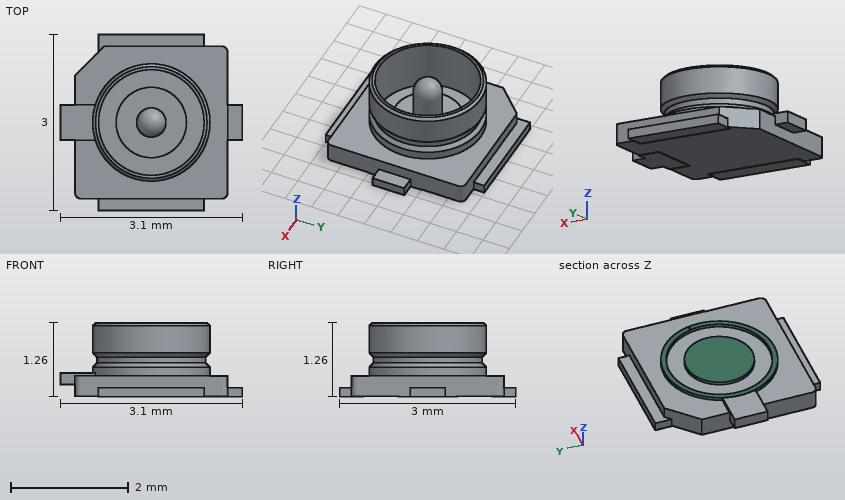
import cadquery as cq

pad_stand_off = 0.01
body_top = 0.36
solder_pad_top = 0.16
side_tab_bottom = 0.21
side_tab_top = 0.41
groove_lower_edge = 0.51
groove_upper_edge = 0.75
overall_height = 1.26

body_size = 2.6
corner_chamfer = 0.5
corner_radius = 0.1

shell_radius = 1.0
bore_radius = 0.9
groove_depth = 0.07
rim_chamfer_width = 0.05
rim_chamfer_height = 0.045

pin_radius = 0.25
insulator_radius = 0.6
insulator_height = 0.1

contact_span_x = 3.1
contact_span_y = 3.0
side_tab_width = 0.6
ground_pad_length = 1.8
ground_pad_inner_y = 1.1
signal_pad_width = 1.0
signal_pad_inner_x = 0.9


def box_between(x_min, x_max, y_min, y_max, z_min, z_max):
    size = (x_max - x_min, y_max - y_min, z_max - z_min)
    return cq.Workplane("XY").box(*size, centered=False).translate((x_min, y_min, z_min))


def make_body():
    """Square base with one chamfered corner and three rounded ones."""
    half = body_size / 2
    body = box_between(-half, half, -half, half, pad_stand_off, body_top)
    body = body.edges("|Z").edges("<X").edges(">Y").chamfer(corner_chamfer)
    body = body.edges("|Z").edges(">X").fillet(corner_radius)
    return body.edges("|Z").edges("<Y").edges("<X").fillet(corner_radius)


def make_shell():
    """Open ring with a 45 degree sided snap groove and a chamfered rim."""
    groove_radius = shell_radius - groove_depth
    profile = [
        (bore_radius, body_top),
        (shell_radius, body_top),
        (shell_radius, groove_lower_edge),
        (groove_radius, groove_lower_edge + groove_depth),
        (groove_radius, groove_upper_edge - groove_depth),
        (shell_radius, groove_upper_edge),
        (shell_radius, overall_height - rim_chamfer_height),
        (shell_radius - rim_chamfer_width, overall_height),
        (bore_radius, overall_height),
    ]
    return cq.Workplane("XZ").polyline(profile).close().revolve(360, (0, 0), (0, 1))


def make_pin():
    """Center pin ending in a hemisphere, standing on the insulator disc."""
    tip_center = overall_height - pin_radius
    pin = cq.Workplane("XY").circle(pin_radius).extrude(tip_center - body_top)
    disc = cq.Workplane("XY").circle(insulator_radius).extrude(insulator_height)
    tip = cq.Workplane("XY").sphere(pin_radius).translate((0, 0, tip_center))
    return pin.union(disc).translate((0, 0, body_top)).union(tip)


def make_side_tab():
    """Raised tab on the -X side, running in to the shell wall."""
    half_width = side_tab_width / 2
    outer_x = -contact_span_x / 2
    inner_x = -(bore_radius + shell_radius) / 2
    return box_between(outer_x, inner_x, -half_width, half_width, side_tab_bottom, side_tab_top)


def make_signal_contact():
    """Low tab on the +X side with a wider solder pad under the body."""
    half_tab = side_tab_width / 2
    half_pad = signal_pad_width / 2
    body_edge = body_size / 2
    tab = box_between(signal_pad_inner_x, contact_span_x / 2, -half_tab, half_tab, 0, solder_pad_top)
    pad = box_between(signal_pad_inner_x, body_edge, -half_pad, half_pad, 0, solder_pad_top)
    return tab.union(pad)


def make_ground_pad(side):
    """Long solder pad along the +Y (side = 1) or -Y (side = -1) edge."""
    half_length = ground_pad_length / 2
    y_min, y_max = sorted((side * ground_pad_inner_y, side * contact_span_y / 2))
    return box_between(-half_length, half_length, y_min, y_max, 0, solder_pad_top)


result = make_body().union(make_shell()).union(make_pin())
result = result.union(make_side_tab()).union(make_signal_contact())
for side in (-1, 1):
    result = result.union(make_ground_pad(side))